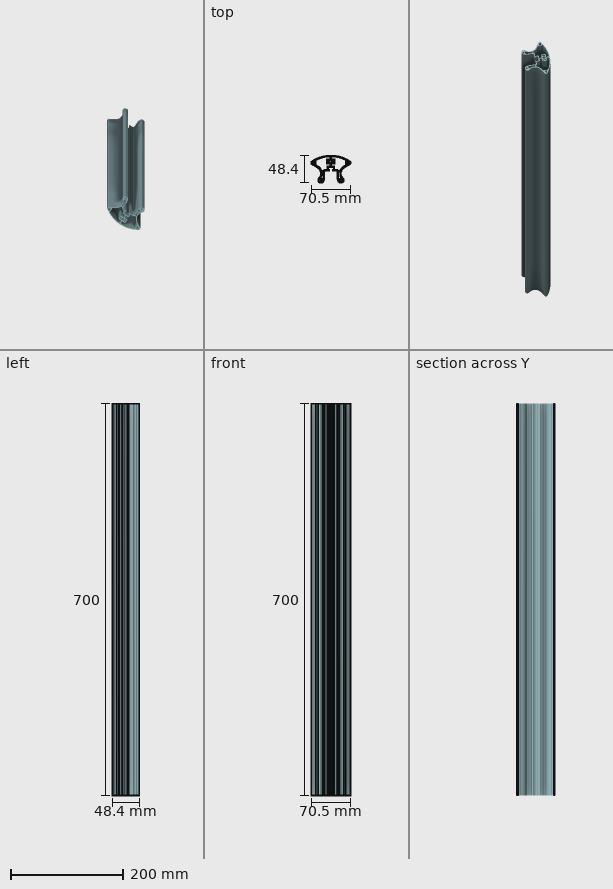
import cadquery as cq
import math

length = 700.0
half_width = 70.49 / 2
height = 48.38

wall = 1.5
half_wall = wall / 2
flank_wall = 1.8

crown_radius = 60.0
crown_center_y = height - crown_radius
crown_end_x = -34.2

nose_y = 36.0
nose_bulge = 0.048
nose_mid_x = -half_width + nose_bulge
nose_end_x = -34.0
nose_hollow_left_x = -33.4
nose_hollow_right_x = -28.4
nose_hollow_top_y = 37.2
nose_hollow_peak_y = 38.0
nose_floor_wall = 3.0
main_cavity_left_x = nose_hollow_right_x + wall

flank_radius = 13.0
flank_center_x = -30.8
flank_center_y = 16.2
flank_top_angle = 60.0
flank_bottom_angle = -25.0
flank_slope = math.radians(90.0 - flank_top_angle)

plate_bottom_y = 21.3
plate_top_y = plate_bottom_y + wall
slot_opening_half = 3.2
slot_half = 4.7
slot_ceiling_y = 27.5
slot_block_half = slot_half + wall
slot_block_top_y = slot_ceiling_y + wall

leg_inner_x = -11.7
leg_inner_bottom_y = 6.5
leg_fillet = 2.0
leg_hollow_inner_x = leg_inner_x - wall
leg_hollow_top_y = 19.0
leg_hollow_top_angle = 13.0
leg_hollow_bottom_y = 6.5
leg_hollow_bottom_outer_x = -18.8

foot_outer_x = -22.9
foot_radius = 4.3
foot_round_center_x = foot_outer_x + foot_radius
foot_shoulder_angle = 155.0
foot_bottom_angle = 270.0
foot_bevel_x = -13.6
foot_bevel = 2.0
foot_hole_radius = 1.8
foot_hole_x = -17.1
foot_hole_y = foot_hole_radius + wall

dip_y = leg_hollow_top_y + wall
dip_angle = 22.0
dip_floor_left_x = -15.5
dip_floor_right_x = -14.0
dip_right_x = leg_inner_x

web_fillet = 1.7
port_center_y = 37.75
port_hole_radius = 2.45
port_half_width = 7.2
port_tube_radius = port_hole_radius + wall


def crown_point(x, depth=0.0):
    """Point on the crown arc, or on the arc a given depth below it."""
    return (x, crown_center_y + math.sqrt((crown_radius - depth) ** 2 - x**2))


def polar_point(center_x, center_y, radius, angle):
    turn = math.radians(angle)
    return (center_x + radius * math.cos(turn), center_y + radius * math.sin(turn))


def flank_point(angle, depth=0.0):
    """Point on the concave flank arc, or on the arc a given depth inside it."""
    return polar_point(flank_center_x, flank_center_y, flank_radius + depth, angle)


def foot_point(angle):
    """Point on the rounded outer corner of the foot, which touches y = 0 at its lowest point."""
    return polar_point(foot_round_center_x, foot_radius, foot_radius, angle)


def slope_point(x, depth=0.0):
    """Point on the straight slope, or on the parallel line a given depth inside it."""
    low_x, low_y = flank_point(flank_top_angle, depth)
    return (x, low_y + (low_x - x) * math.tan(flank_slope))


def start(x, y):
    return cq.Workplane("XY").moveTo(x, y)


def at(x, y):
    return cq.Workplane("XY").center(x, y)


def fillet_middle(radius):
    """Distance from each of two square sides to the middle of the fillet between them."""
    return radius * (1 - math.sqrt(0.5))


def left_outline():
    flank_middle_angle = (flank_top_angle + flank_bottom_angle) / 2
    foot_middle_angle = (foot_shoulder_angle + foot_bottom_angle) / 2
    fillet_inset = fillet_middle(leg_fillet)
    return (
        start(0, height)
        .threePointArc(crown_point(crown_end_x / 2), crown_point(crown_end_x))
        .threePointArc((nose_mid_x, nose_y), slope_point(nose_end_x))
        .lineTo(*flank_point(flank_top_angle))
        .threePointArc(flank_point(flank_middle_angle), flank_point(flank_bottom_angle))
        .lineTo(*foot_point(foot_shoulder_angle))
        .threePointArc(foot_point(foot_middle_angle), foot_point(foot_bottom_angle))
        .lineTo(foot_bevel_x - foot_bevel, 0)
        .lineTo(foot_bevel_x, foot_bevel)
        .lineTo(leg_inner_x, leg_inner_bottom_y)
        .lineTo(leg_inner_x, plate_bottom_y - leg_fillet)
        .threePointArc(
            (leg_inner_x + fillet_inset, plate_bottom_y - fillet_inset),
            (leg_inner_x + leg_fillet, plate_bottom_y),
        )
        .lineTo(-slot_opening_half, plate_bottom_y)
        .lineTo(-slot_opening_half, plate_top_y)
        .lineTo(-slot_half, plate_top_y)
        .lineTo(-slot_half, slot_ceiling_y)
        .lineTo(0, slot_ceiling_y)
        .close()
        .extrude(length)
    )


def main_cavity():
    flank_middle_angle = (flank_top_angle + dip_angle) / 2
    fillet_inset = fillet_middle(web_fillet)
    fillet_end_x, ceiling_y = crown_point(-half_wall - web_fillet, wall)
    return (
        start(-half_wall, ceiling_y - web_fillet)
        .threePointArc((-half_wall - fillet_inset, ceiling_y - fillet_inset), (fillet_end_x, ceiling_y))
        .threePointArc(crown_point(main_cavity_left_x / 2, wall), crown_point(main_cavity_left_x, wall))
        .lineTo(*slope_point(main_cavity_left_x, flank_wall))
        .lineTo(*flank_point(flank_top_angle, flank_wall))
        .threePointArc(flank_point(flank_middle_angle, flank_wall), flank_point(dip_angle, flank_wall))
        .lineTo(dip_floor_left_x, dip_y)
        .lineTo(dip_floor_right_x, dip_y)
        .lineTo(dip_right_x, plate_top_y)
        .lineTo(-slot_block_half, plate_top_y)
        .lineTo(-slot_block_half, slot_block_top_y)
        .lineTo(-half_wall, slot_block_top_y)
        .close()
        .extrude(length)
    )


def nose_hollow():
    return (
        start(nose_hollow_left_x, nose_hollow_top_y)
        .lineTo(nose_hollow_right_x, nose_hollow_peak_y)
        .lineTo(*slope_point(nose_hollow_right_x, nose_floor_wall))
        .lineTo(*slope_point(nose_hollow_left_x, nose_floor_wall))
        .close()
        .extrude(length)
    )


def leg_hollow():
    middle_angle = (leg_hollow_top_angle + flank_bottom_angle) / 2
    return (
        start(leg_hollow_inner_x, leg_hollow_top_y)
        .lineTo(*flank_point(leg_hollow_top_angle, wall))
        .threePointArc(flank_point(middle_angle, wall), flank_point(flank_bottom_angle, wall))
        .lineTo(leg_hollow_bottom_outer_x, leg_hollow_bottom_y)
        .lineTo(leg_hollow_inner_x, leg_hollow_bottom_y)
        .close()
        .extrude(length)
    )


def foot_hole():
    return at(foot_hole_x, foot_hole_y).circle(foot_hole_radius).extrude(length)


def screw_port():
    """Rectangular box whose inside holds a round tube, leaving a narrow hollow on each side."""
    box = at(0, port_center_y).rect(2 * port_half_width, 2 * port_tube_radius).extrude(length)
    inside = at(0, port_center_y).rect(2 * (port_half_width - wall), 2 * port_hole_radius).extrude(length)
    tube = at(0, port_center_y).circle(port_tube_radius).extrude(length)
    return box.cut(inside.cut(tube))


half = left_outline()
for hollow in (main_cavity(), nose_hollow(), leg_hollow(), foot_hole()):
    half = half.cut(hollow)
port_hole = at(0, port_center_y).circle(port_hole_radius).extrude(length)
result = half.union(half.mirror("YZ")).union(screw_port()).cut(port_hole)